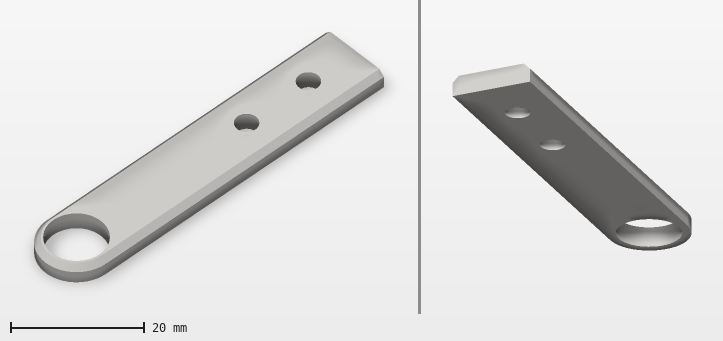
import cadquery as cq

length = 63.5
width = 12.7
thickness = 3.2
end_radius = width / 2

bevel = 1.0

eye_diameter = 10.0
screw_hole_diameter = 3.8
first_hole_inset = 9.5
hole_spacing = 12.7

square_end_y = length - end_radius
first_hole_y = square_end_y - first_hole_inset
screw_hole_centres = [(0, first_hole_y), (0, first_hole_y - hole_spacing)]


def bar_blank():
    return (
        cq.Workplane("XY")
        .moveTo(-end_radius, square_end_y)
        .lineTo(-end_radius, 0)
        .threePointArc((0, -end_radius), (end_radius, 0))
        .lineTo(end_radius, square_end_y)
        .close()
        .extrude(thickness)
    )


def bevel_top(bar):
    return bar.faces(">Z").edges("not(>Y)").chamfer(bevel)


def drill_holes(bar):
    top = bar.faces(">Z").workplane(origin=(0, 0, thickness))
    bar = top.circle(eye_diameter / 2).cutThruAll()
    top = bar.faces(">Z").workplane(origin=(0, 0, thickness))
    return top.pushPoints(screw_hole_centres).circle(screw_hole_diameter / 2).cutThruAll()


result = drill_holes(bevel_top(bar_blank()))